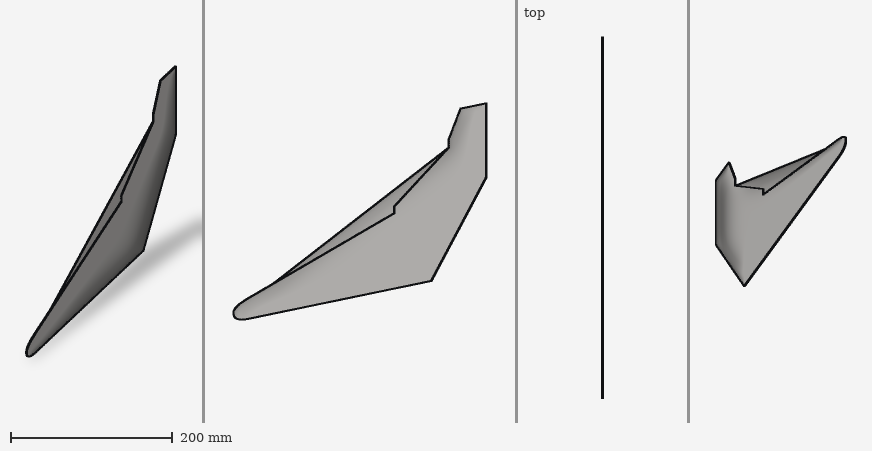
import cadquery as cq
import math

span = 446.5
height = 210.0
thickness = 1.5
web_thickness = thickness * 2 / 3

root_top_length = 45.0
root_edge_height = 93.5
lower_corner_y = span - 97.5

notch_y = span - 66.0
notch_top_z = 174.0
notch_bottom_z = 164.0
step_y = span - 162.5
step_top_z = 103.5
step_bottom_z = 95.0

edge_slope = math.tan(math.radians(15))
tip_start_y = 24.5
tip_middle_z = 11.0

web_end_y = 69.0


def upper_edge_z(y):
    """Height of the sloping upper edge between the step and the tip."""
    return step_bottom_z - edge_slope * (step_y - y)


def wing_plate():
    """Full-thickness wing with the stepped upper edge and curved tip."""
    return (
        cq.Workplane("YZ")
        .moveTo(tip_start_y, 0)
        .lineTo(lower_corner_y, 0)
        .lineTo(span, height - root_edge_height)
        .lineTo(span, height)
        .lineTo(span - root_top_length, height)
        .lineTo(notch_y, notch_top_z)
        .lineTo(notch_y, notch_bottom_z)
        .lineTo(step_y, step_top_z)
        .lineTo(step_y, step_bottom_z)
        .lineTo(tip_start_y, upper_edge_z(tip_start_y))
        .bezier([(0, upper_edge_z(0)), (0, tip_middle_z)], includeCurrent=True)
        .bezier([(0, 0), (tip_start_y, 0)], includeCurrent=True)
        .close()
        .extrude(thickness)
    )


def web():
    """Thinner triangular web filling the stepped upper edge, centred in the thickness."""
    return (
        cq.Workplane("YZ", origin=((thickness - web_thickness) / 2, 0, 0))
        .moveTo(notch_y, notch_bottom_z)
        .lineTo(step_y, step_top_z)
        .lineTo(step_y, step_bottom_z)
        .lineTo(web_end_y, upper_edge_z(web_end_y))
        .close()
        .extrude(web_thickness)
    )


result = wing_plate().union(web())